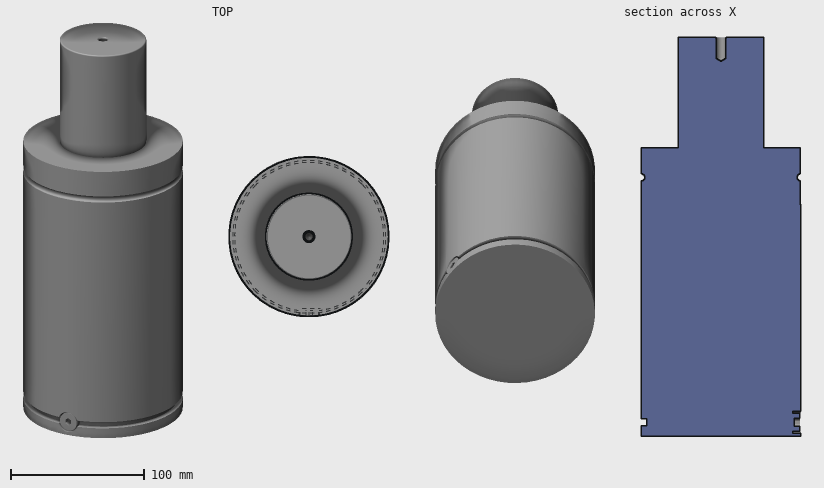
import cadquery as cq
import math

BODY_RADIUS = 60.0
BODY_HEIGHT = 217.0

BASE_GROOVE_BOTTOM = 8.0
BASE_GROOVE_WIDTH = 5.0
BASE_GROOVE_TOP = BASE_GROOVE_BOTTOM + BASE_GROOVE_WIDTH
BASE_GROOVE_DEPTH = 4.0

ROUND_GROOVE_WIDTH = 5.0
ROUND_GROOVE_DEPTH = ROUND_GROOVE_WIDTH / 2
TOP_FLANGE_THICKNESS = 20.0
ROUND_GROOVE_TOP = BODY_HEIGHT - TOP_FLANGE_THICKNESS

ROD_RADIUS = 32.5
ROD_TOP = 300.0
ROD_EDGE_RADIUS = 1.0

ROD_HOLE_DIAMETER = 6.8
ROD_HOLE_MOUTH_DIAMETER = 8.5
ROD_HOLE_DEPTH = 16.0
DRILL_TIP_ANGLE = 118.0

PORT_HEIGHT = (BASE_GROOVE_BOTTOM + BASE_GROOVE_TOP) / 2
PORT_DIAMETER = 16.0
PORT_DEPTH = 6.0
PLUG_DIAMETER = 14.0
PLUG_SETBACK = 0.75
HEXAGON_SIDES = 6
SOCKET_ACROSS_FLATS = 5.0
SOCKET_DEPTH = 4.0


def make_body_and_rod():
    """Body, both fixing grooves and the rod, turned from one half profile."""
    base_groove_radius = BODY_RADIUS - BASE_GROOVE_DEPTH
    round_groove_bottom = ROUND_GROOVE_TOP - ROUND_GROOVE_WIDTH
    round_groove_middle = (ROUND_GROOVE_TOP + round_groove_bottom) / 2
    profile = (
        cq.Workplane("XZ")
        .moveTo(0, 0)
        .lineTo(BODY_RADIUS, 0)
        .lineTo(BODY_RADIUS, BASE_GROOVE_BOTTOM)
        .lineTo(base_groove_radius, BASE_GROOVE_BOTTOM)
        .lineTo(base_groove_radius, BASE_GROOVE_TOP)
        .lineTo(BODY_RADIUS, BASE_GROOVE_TOP)
        .lineTo(BODY_RADIUS, round_groove_bottom)
        .threePointArc(
            (BODY_RADIUS - ROUND_GROOVE_DEPTH, round_groove_middle),
            (BODY_RADIUS, ROUND_GROOVE_TOP),
        )
        .lineTo(BODY_RADIUS, BODY_HEIGHT)
        .lineTo(ROD_RADIUS, BODY_HEIGHT)
        .lineTo(ROD_RADIUS, ROD_TOP - ROD_EDGE_RADIUS)
        .radiusArc((ROD_RADIUS - ROD_EDGE_RADIUS, ROD_TOP), -ROD_EDGE_RADIUS)
        .lineTo(0, ROD_TOP)
        .close()
    )
    return profile.revolve(360, (0, 0), (0, 1))


def make_rod_hole():
    """Drilled hole with a 45 degree countersunk mouth and a conical tip."""
    radius = ROD_HOLE_DIAMETER / 2
    mouth_radius = ROD_HOLE_MOUTH_DIAMETER / 2
    mouth_depth = mouth_radius - radius
    tip_length = radius / math.tan(math.radians(DRILL_TIP_ANGLE / 2))
    hole_bottom = ROD_TOP - ROD_HOLE_DEPTH
    profile = (
        cq.Workplane("XZ")
        .moveTo(0, ROD_TOP)
        .lineTo(mouth_radius, ROD_TOP)
        .lineTo(radius, ROD_TOP - mouth_depth)
        .lineTo(radius, hole_bottom)
        .lineTo(0, hole_bottom - tip_length)
        .close()
    )
    return profile.revolve(360, (0, 0), (0, 1))


def port_plane(setback):
    """Workplane centred on the port axis, set back from the body's -Y edge."""
    return cq.Workplane("XZ", origin=(0, setback - BODY_RADIUS, PORT_HEIGHT))


def make_plug():
    """Round plug with a hexagon socket that has corners at top and bottom."""
    socket_across_corners = SOCKET_ACROSS_FLATS / math.cos(math.pi / HEXAGON_SIDES)
    face = port_plane(PLUG_SETBACK)
    plug = face.circle(PLUG_DIAMETER / 2).extrude(PLUG_SETBACK - PORT_DEPTH)
    turned_face = face.transformed(rotate=(0, 0, 90))
    socket = turned_face.polygon(HEXAGON_SIDES, socket_across_corners).extrude(-SOCKET_DEPTH)
    return plug.cut(socket)


def add_charging_port(part):
    """Bore the port, then stand the plug on its floor."""
    bore = port_plane(0).circle(PORT_DIAMETER / 2).extrude(-PORT_DEPTH)
    return part.cut(bore).union(make_plug())


result = add_charging_port(make_body_and_rod().cut(make_rod_hole()))